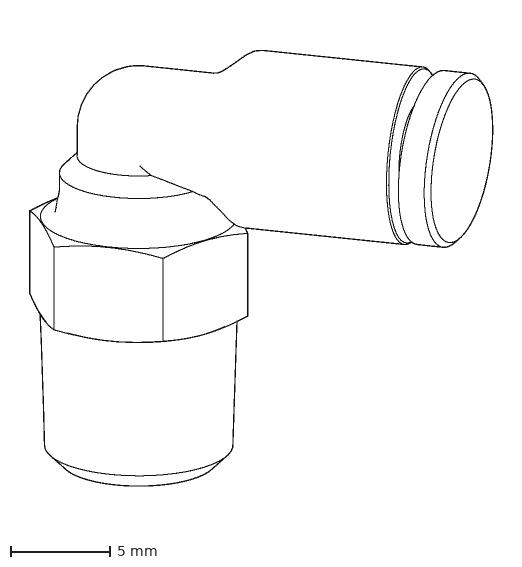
import cadquery as cq
import math


overall_length = 22.87
outlet_axis_height = 17.8
elbow_radius = 3.1

plug_chamfer = 0.85
plug_tip_radius = 4.75
plug_root_radius = 4.99

hex_bottom = 8.03
hex_height = 5.0
hex_across_flats = 10.0
hex_top = hex_bottom + hex_height
hex_corner_radius = hex_across_flats / math.sqrt(3)
hex_chamfer_start = 4.96
hex_chamfer_drop = 0.3

collar_radius = 4.0
collar_base_radius = 4.2
collar_foot_fillet = 0.27
collar_straight_bottom = 14.39
collar_straight_top = 15.37
collar_top = collar_straight_top + collar_radius - elbow_radius

barrel_radius = 4.5
flare_start = 4.0
flare_end = 5.79
flare_fillet = 0.95
barrel_end = 14.64
barrel_end_chamfer = 0.1

button_neck_radius = 2.75
flange_start = 15.45
flange_end = overall_length - hex_corner_radius
flange_half_width = 5.4
flange_half_height = 4.3
flange_chamfer = 0.27


def make_stem():
    """Turned stem: tapered plug, core of the hexagon, collar and upright elbow leg."""
    foot_mid_angle = math.radians(45)
    foot_mid_offset = collar_foot_fillet * (1 - math.cos(foot_mid_angle))
    foot_middle = (collar_base_radius + foot_mid_offset, hex_top + foot_mid_offset)
    foot_end = (collar_base_radius, hex_top + collar_foot_fillet)
    profile = (
        cq.Workplane("XZ")
        .lineTo(plug_tip_radius - plug_chamfer, 0)
        .lineTo(plug_tip_radius, plug_chamfer)
        .lineTo(plug_root_radius, hex_bottom)
        .lineTo(collar_base_radius + collar_foot_fillet, hex_bottom)
        .lineTo(collar_base_radius + collar_foot_fillet, hex_top)
        .threePointArc(foot_middle, foot_end)
        .lineTo(collar_radius, collar_straight_bottom)
        .lineTo(collar_radius, collar_straight_top)
        .lineTo(elbow_radius, collar_top)
        .lineTo(elbow_radius, outlet_axis_height)
        .lineTo(0, outlet_axis_height)
        .close()
    )
    return profile.revolve(360, (0, 0, 0), (0, 1, 0))


def make_hexagon():
    """Hexagon with its corners along X, conically chamfered at both ends."""
    prism = (
        cq.Workplane("XY", origin=(0, 0, hex_bottom))
        .polygon(6, 2 * hex_corner_radius)
        .extrude(hex_height)
    )
    envelope = (
        cq.Workplane("XZ")
        .moveTo(0, hex_bottom)
        .lineTo(hex_chamfer_start, hex_bottom)
        .lineTo(hex_corner_radius, hex_bottom + hex_chamfer_drop)
        .lineTo(hex_corner_radius, hex_top - hex_chamfer_drop)
        .lineTo(hex_chamfer_start, hex_top)
        .lineTo(0, hex_top)
        .close()
        .revolve(360, (0, 0, 0), (0, 1, 0))
    )
    return prism.intersect(envelope)


def make_elbow_ball():
    """Ball that rounds the outside of the bend."""
    return cq.Workplane("XY", origin=(0, 0, outlet_axis_height)).sphere(elbow_radius)


def make_barrel():
    """Turned outlet: level elbow leg flaring smoothly out to the barrel."""
    profile = (
        cq.Workplane("XZ", origin=(0, 0, outlet_axis_height))
        .lineTo(0, elbow_radius)
        .lineTo(flare_start, elbow_radius)
        .lineTo(flare_end, barrel_radius)
        .lineTo(barrel_end, barrel_radius)
        .lineTo(barrel_end, 0)
        .close()
    )
    barrel = profile.revolve(360, (0, 0, 0), (1, 0, 0))
    barrel = barrel.faces(">X").edges().chamfer(barrel_end_chamfer)
    flare_edges = barrel.faces("%CONE").faces("<X").edges("%CIRCLE")
    return flare_edges.fillet(flare_fillet)


def make_button():
    """Release button: round neck and oval flange with a chamfered outer rim."""
    neck = (
        cq.Workplane("YZ", origin=(barrel_end, 0, outlet_axis_height))
        .circle(button_neck_radius)
        .extrude(flange_start - barrel_end)
    )
    flange = (
        cq.Workplane("YZ", origin=(flange_start, 0, outlet_axis_height))
        .ellipse(flange_half_width, flange_half_height)
        .extrude(flange_end - flange_start)
        .faces(">X")
        .edges()
        .chamfer(flange_chamfer)
    )
    return neck.union(flange)


result = (
    make_stem()
    .union(make_hexagon())
    .union(make_elbow_ball())
    .union(make_barrel())
    .union(make_button())
)